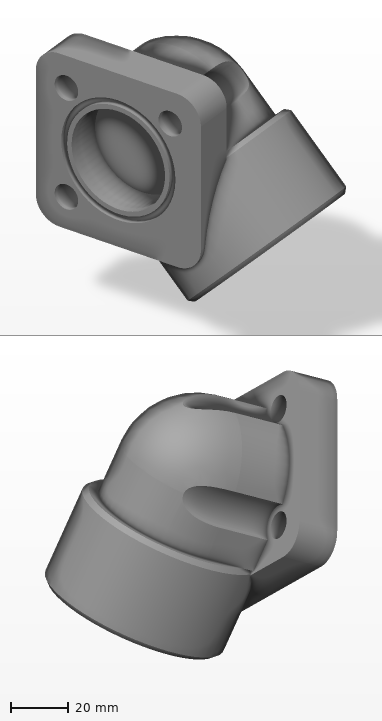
import cadquery as cq
import math

flange_side = 70.0
flange_thickness = 16.0
flange_corner_radius = 10.0

bolt_offset = 22.0
bolt_hole_diameter = 10.0
bolt_corners = [(-1, 1), (1, 1), (-1, -1)]
wrench_relief_radius = 7.5

body_radius = 28.8
elbow_center_y = 36.0

outlet_angle = 45.0
outlet_tilt = math.radians(outlet_angle)
outlet_direction = cq.Vector(math.cos(outlet_tilt), 0, -math.sin(outlet_tilt))
outlet_end = 56.0
collar_length = 36.5
collar_radius = 34.2
collar_chamfer = 1.8
collar_start = outlet_end - collar_length

port_radius = 19.8
port_depth = 14.5
groove_inner_radius = 21.7
groove_outer_radius = 24.2
groove_depth = 2.0


def cylinder_along_y(radius, y_start, y_end, x=0.0, z=0.0):
    """Solid cylinder parallel to Y between two Y positions."""
    base = cq.Vector(x, y_start, z)
    return cq.Workplane(cq.Solid.makeCylinder(radius, y_end - y_start, base, cq.Vector(0, 1, 0)))


def cylinder_along_outlet(radius, start, end):
    """Solid cylinder on the outlet axis between two distances from the elbow centre."""
    base = cq.Vector(0, elbow_center_y, 0) + outlet_direction * start
    return cq.Workplane(cq.Solid.makeCylinder(radius, end - start, base, outlet_direction))


def make_flange():
    plate = cq.Workplane("XY").box(
        flange_side, flange_thickness, flange_side, centered=(True, False, True)
    )
    return plate.edges("|Y").fillet(flange_corner_radius)


def make_branch():
    """Arch-shaped branch along +X, from the elbow centre to the collar, standing on the flange."""
    return (
        cq.Workplane("YZ")
        .moveTo(flange_thickness, -body_radius)
        .lineTo(elbow_center_y, -body_radius)
        .threePointArc((elbow_center_y + body_radius, 0), (elbow_center_y, body_radius))
        .lineTo(flange_thickness, body_radius)
        .close()
        .extrude(collar_start)
    )


def make_domed_back():
    """Rounded -X half of the elbow: half the arch turned half a revolution about Y."""
    arc_reach = body_radius / math.sqrt(2)
    return (
        cq.Workplane("YZ")
        .moveTo(flange_thickness, 0)
        .lineTo(flange_thickness, body_radius)
        .lineTo(elbow_center_y, body_radius)
        .threePointArc((elbow_center_y + arc_reach, arc_reach), (elbow_center_y + body_radius, 0))
        .close()
        .revolve(180, (0, 0), (-1, 0))
    )


def make_elbow():
    elbow_along_x = make_branch().union(make_domed_back())
    return elbow_along_x.rotate((0, 0, 0), (0, 1, 0), outlet_angle)


def make_collar():
    collar = cylinder_along_outlet(collar_radius, collar_start, outlet_end)
    return collar.edges("%CIRCLE").chamfer(collar_chamfer)


def cut_wrench_reliefs(body):
    """Grooves behind the flange, on the bolt axes, that clear the bolt heads."""
    relief_end = elbow_center_y + body_radius
    for side_x, side_z in bolt_corners:
        relief = cylinder_along_y(
            wrench_relief_radius, flange_thickness, relief_end, side_x * bolt_offset, side_z * bolt_offset
        )
        body = body.cut(relief)
    return body


def cut_bolt_holes(body):
    for side_x, side_z in bolt_corners:
        hole = cylinder_along_y(
            bolt_hole_diameter / 2, 0, flange_thickness, side_x * bolt_offset, side_z * bolt_offset
        )
        body = body.cut(hole)
    return body


def cut_port(body):
    return body.cut(cylinder_along_y(port_radius, 0, port_depth))


def cut_seal_groove(body):
    outer = cylinder_along_y(groove_outer_radius, 0, groove_depth)
    inner = cylinder_along_y(groove_inner_radius, 0, groove_depth)
    return body.cut(outer.cut(inner))


elbow = cut_wrench_reliefs(make_elbow())
housing = elbow.union(make_collar()).union(make_flange())
result = cut_seal_groove(cut_port(cut_bolt_holes(housing)))